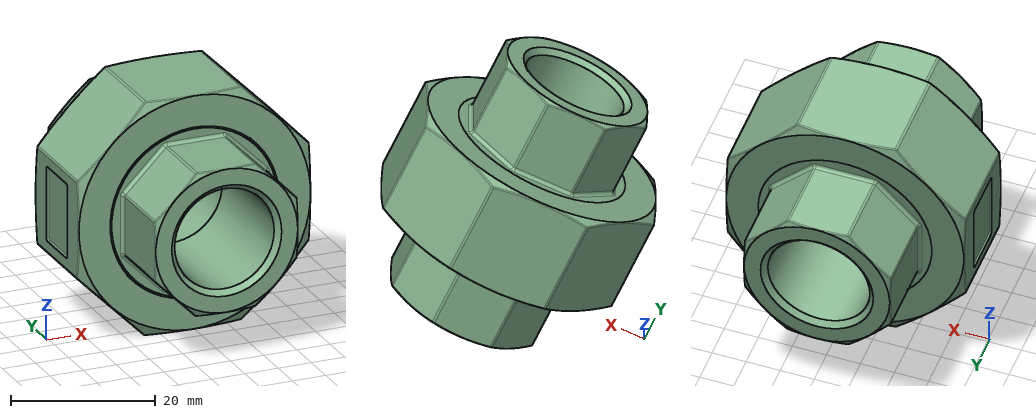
import cadquery as cq
import math

SIDES = 8
TOTAL_LENGTH = 37.6
CORNER_RADIUS = 0.5
CHAMFER_ANGLE = 23.0
CHAMFER_INSET = 0.08
EDGE_RADIUS = 0.2

NUT_FLATS = 35.0
NUT_LENGTH = 15.05
NUT_CENTER_Y = -0.2
NUT_BORE = 25.5

FITTING_FLATS = 21.5
FRONT_COLLAR = 25.0
COLLAR_FILLET = 0.5
BORE_DIAMETER = 14.95
MOUTH_DIAMETER = 16.55

LABEL_LENGTH = 7.22
LABEL_HEIGHT = 11.13
LABEL_DEPTH = 0.3
LABEL_CORNER_RADIUS = 0.38
LABEL_FLOOR_RADIUS = 0.2


def chamfered_octagon(flats, length, chamfer_start, chamfer_end):
    """Octagonal bar from Y = 0 to Y = length, with turned chamfers on the chosen ends."""
    corner_diameter = flats / math.cos(math.pi / SIDES)
    bar = (
        cq.Workplane("XZ")
        .transformed(rotate=(0, 0, 180 / SIDES))
        .polygon(SIDES, corner_diameter)
        .extrude(-length)
        .edges("|Y")
        .fillet(CORNER_RADIUS)
    )

    face_radius = flats / 2 - CHAMFER_INSET
    outer_radius = corner_diameter / 2 + 0.38
    cone_depth = (outer_radius - face_radius) * math.tan(math.radians(CHAMFER_ANGLE))
    profile = cq.Workplane("XY").moveTo(0, 0)
    if chamfer_start:
        profile = profile.lineTo(face_radius, 0).lineTo(outer_radius, cone_depth)
    else:
        profile = profile.lineTo(outer_radius, 0)
    if chamfer_end:
        profile = profile.lineTo(outer_radius, length - cone_depth).lineTo(face_radius, length)
    else:
        profile = profile.lineTo(outer_radius, length)
    envelope = profile.lineTo(0, length).close().revolve(360, (0, 0, 0), (0, 1, 0))
    bar = bar.intersect(envelope)

    cone_edges = [
        edge
        for face in bar.faces("%CONE").vals()
        for edge in face.Edges()
        if edge.geomType() != "CIRCLE"
    ]
    return bar.newObject(cone_edges).fillet(EDGE_RADIUS)


def make_nut():
    start_y = NUT_CENTER_Y - NUT_LENGTH / 2
    nut = chamfered_octagon(NUT_FLATS, NUT_LENGTH, True, True).translate((0, start_y, 0))
    bore = cq.Workplane("XZ", origin=(0, start_y, 0)).circle(NUT_BORE / 2).extrude(-NUT_LENGTH)
    label_recess = (
        cq.Workplane("YZ", origin=(-NUT_FLATS / 2, NUT_CENTER_Y, 0))
        .rect(LABEL_LENGTH, LABEL_HEIGHT)
        .extrude(LABEL_DEPTH)
        .edges("|X")
        .fillet(LABEL_CORNER_RADIUS)
        .faces(">X")
        .edges()
        .fillet(LABEL_FLOOR_RADIUS)
    )
    return nut.cut(bore).cut(label_recess)


def make_fitting(collar_diameter, collar_length):
    """End fitting on the +Y side: its collar starts at Y = 0 and ends flush with the nut."""
    tail_length = TOTAL_LENGTH / 2 - collar_length
    tail = chamfered_octagon(FITTING_FLATS, tail_length, False, True)
    collar = cq.Workplane("XZ").circle(collar_diameter / 2).extrude(-collar_length)
    fitting = collar.union(tail.translate((0, collar_length, 0)))

    shoulder = next(face for face in fitting.faces("+Y").vals() if face.innerWires())
    root_edges = shoulder.innerWires()[0].Edges()
    fitting = fitting.newObject(root_edges).fillet(COLLAR_FILLET)

    bore_radius = BORE_DIAMETER / 2
    mouth_radius = MOUTH_DIAMETER / 2
    end_y = TOTAL_LENGTH / 2
    bore = (
        cq.Workplane("XY")
        .moveTo(0, 0)
        .lineTo(bore_radius, 0)
        .lineTo(bore_radius, end_y - (mouth_radius - bore_radius))
        .lineTo(mouth_radius, end_y)
        .lineTo(0, end_y)
        .close()
        .revolve(360, (0, 0, 0), (0, 1, 0))
    )
    return fitting.cut(bore)


nut = make_nut()

front_fitting = make_fitting(FRONT_COLLAR, NUT_LENGTH / 2 - NUT_CENTER_Y).mirror("XZ")
rear_fitting = make_fitting(NUT_BORE, NUT_LENGTH / 2 + NUT_CENTER_Y)

result = cq.Compound.makeCompound([nut.val(), front_fitting.val(), rear_fitting.val()])